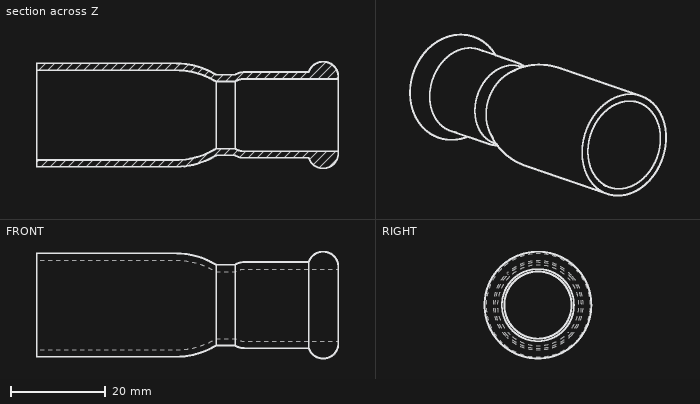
import cadquery as cq
import math


spigot_diameter = 22.0
spigot_bore = 19.0
neck_diameter = 17.2
socket_diameter = 18.3
bead_diameter = 22.71

spigot_end = 29.6
neck_start = 38.05
neck_end = 42.1
socket_start = 44.0
total_length = 64.0

bead_radius = 3.25

wall = (spigot_diameter - spigot_bore) / 2
bead_center_x = total_length - bead_radius
bead_center_r = bead_diameter / 2 - bead_radius


def bead_start_x():
    """Station where the bead circle rises out of the socket wall."""
    rise = socket_diameter / 2 - bead_center_r
    return bead_center_x - math.sqrt(bead_radius**2 - rise**2)


def shoulder_middle(start_x, end_x, large_r, small_r):
    """Middle of an arc that leaves (start_x, large_r) along the axis and ends at (end_x, small_r)."""
    run = end_x - start_x
    drop = large_r - small_r
    arc_radius = (run**2 + drop**2) / (2 * drop)
    half_angle = math.atan2(drop, abs(run))
    direction = math.copysign(1, run)
    middle_x = start_x + direction * arc_radius * math.sin(half_angle)
    middle_r = large_r - arc_radius * (1 - math.cos(half_angle))
    return middle_x, middle_r


def stepped_profile(spigot_r, neck_r, socket_r, socket_end):
    """Half profile from the axis over spigot, shoulder, neck, shoulder and socket."""
    return (
        cq.Workplane("XY")
        .moveTo(0, 0)
        .lineTo(0, spigot_r)
        .lineTo(spigot_end, spigot_r)
        .threePointArc(
            shoulder_middle(spigot_end, neck_start, spigot_r, neck_r),
            (neck_start, neck_r),
        )
        .lineTo(neck_end, neck_r)
        .threePointArc(
            shoulder_middle(socket_start, neck_end, socket_r, neck_r),
            (socket_start, socket_r),
        )
        .lineTo(socket_end, socket_r)
    )


def revolve_about_x(profile):
    """Close the half profile along the axis and turn it a full circle."""
    return profile.close().revolve(360, (0, 0, 0), (1, 0, 0))


def make_outer_body():
    """Solid outer form, with the bead as an arc over its top to the end face."""
    profile = (
        stepped_profile(
            spigot_diameter / 2, neck_diameter / 2, socket_diameter / 2, bead_start_x()
        )
        .threePointArc(
            (bead_center_x, bead_diameter / 2),
            (total_length, bead_center_r),
        )
        .lineTo(total_length, 0)
    )
    return revolve_about_x(profile)


def make_bore():
    """Through bore that keeps the wall even and runs straight under the bead."""
    profile = (
        stepped_profile(
            spigot_diameter / 2 - wall,
            neck_diameter / 2 - wall,
            socket_diameter / 2 - wall,
            total_length,
        )
        .lineTo(total_length, 0)
    )
    return revolve_about_x(profile)


result = make_outer_body().cut(make_bore())